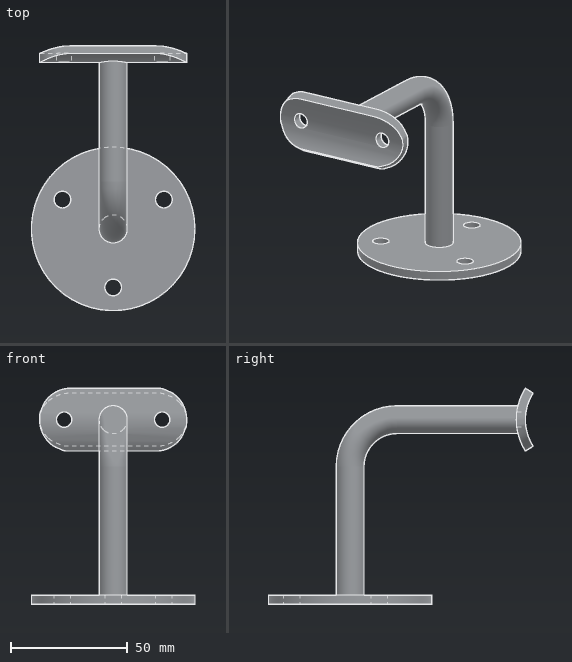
import cadquery as cq
import math

overall_length = 113.3
overall_height = 92.5

plate_diameter = 70.0
plate_thickness = 4.0
plate_hole_count = 3
plate_hole_diameter = 7.0
plate_hole_circle_radius = 25.0
first_plate_hole_angle = -90.0

saddle_length = 63.0
saddle_height = 27.0
saddle_outer_radius = 25.2
saddle_thickness = 4.0
saddle_hole_diameter = 6.5
saddle_hole_spacing = 41.9
quarter_end_segments = 6

rod_diameter = 12.0
rod_bend_radius = 20.0

saddle_inner_radius = saddle_outer_radius - saddle_thickness
saddle_mid_radius = (saddle_outer_radius + saddle_inner_radius) / 2
saddle_half_angle = math.asin(saddle_height / 2 / saddle_outer_radius)
saddle_tip_depth = saddle_inner_radius * math.cos(saddle_half_angle)
saddle_tip_y = overall_length - plate_diameter / 2
saddle_axis_y = saddle_tip_y + saddle_tip_depth
saddle_axis_z = overall_height - saddle_height / 2

strip_end_radius = saddle_mid_radius * saddle_half_angle
strip_end_center = saddle_length / 2 - strip_end_radius


def make_plate():
    """Base disc with evenly spaced screw holes."""
    return (
        cq.Workplane("XY")
        .circle(plate_diameter / 2)
        .extrude(plate_thickness)
        .faces(">Z")
        .workplane()
        .polarArray(plate_hole_circle_radius, first_plate_hole_angle, 360, plate_hole_count)
        .hole(plate_hole_diameter)
    )


def make_rod():
    """Rod rising from the plate, bent 90 degrees toward +Y, ending inside the saddle wall."""
    rod_end_y = saddle_axis_y - saddle_mid_radius
    bend_start_z = saddle_axis_z - rod_bend_radius
    path = (
        cq.Workplane("YZ")
        .lineTo(0, bend_start_z)
        .radiusArc((rod_bend_radius, saddle_axis_z), rod_bend_radius)
        .lineTo(rod_end_y, saddle_axis_z)
    )
    return cq.Workplane("XY").circle(rod_diameter / 2).sweep(path)


def strip_quarter_points(distance, start_angle):
    """Quarter of a rounded strip end, projected radially onto a plane off the bend axis."""
    middle_angle = start_angle + math.pi / 4
    center_x = math.copysign(strip_end_center, math.cos(middle_angle))
    points = []
    for step in range(quarter_end_segments + 1):
        angle = start_angle + math.pi / 2 * step / quarter_end_segments
        bend_angle = strip_end_radius * math.sin(angle) / saddle_mid_radius
        x = center_x + strip_end_radius * math.cos(angle)
        points.append((x, distance * math.tan(bend_angle)))
    return points


def strip_section(distance):
    """Closed strip outline on a plane parallel to XZ, on the rod side of the bend axis."""
    left, right, down, up = (-1, 0), (1, 0), (0, -1), (0, 1)
    lower_right = strip_quarter_points(distance, -math.pi / 2)
    upper_right = strip_quarter_points(distance, 0)
    upper_left = strip_quarter_points(distance, math.pi / 2)
    lower_left = strip_quarter_points(distance, math.pi)
    return (
        cq.Workplane("XZ", origin=(0, saddle_axis_y - distance, saddle_axis_z))
        .moveTo(*lower_right[0])
        .spline(lower_right[1:], tangents=[right, up], includeCurrent=True)
        .spline(upper_right[1:], tangents=[up, left], includeCurrent=True)
        .lineTo(*upper_left[0])
        .spline(upper_left[1:], tangents=[left, down], includeCurrent=True)
        .spline(lower_left[1:], tangents=[down, right], includeCurrent=True)
        .close()
        .val()
    )


def make_saddle():
    """Tube wall trimmed by radial rulings through the bent strip outline, with two holes along Y."""
    tube = (
        cq.Workplane("YZ", origin=(-saddle_length, saddle_axis_y, saddle_axis_z))
        .circle(saddle_outer_radius)
        .circle(saddle_inner_radius)
        .extrude(2 * saddle_length)
    )
    inner_section = strip_section(saddle_tip_depth - saddle_thickness)
    outer_section = strip_section(saddle_outer_radius + saddle_thickness)
    faces = [cq.Face.makeFromWires(inner_section), cq.Face.makeFromWires(outer_section)]
    for inner_edge, outer_edge in zip(inner_section.Edges(), outer_section.Edges()):
        faces.append(cq.Face.makeRuledSurface(inner_edge, outer_edge))
    trim = cq.Solid.makeSolid(cq.Shell.makeShell(faces)).fix()
    holes = (
        cq.Workplane("XZ", origin=(0, saddle_axis_y, saddle_axis_z))
        .rarray(saddle_hole_spacing, 1.1, 2, 1)
        .circle(saddle_hole_diameter / 2)
        .extrude(saddle_outer_radius + saddle_thickness)
    )
    return tube.intersect(cq.Workplane(trim)).cut(holes)


bracket = make_plate().union(make_rod()).union(make_saddle())
result = cq.Workplane(bracket.solids().val())